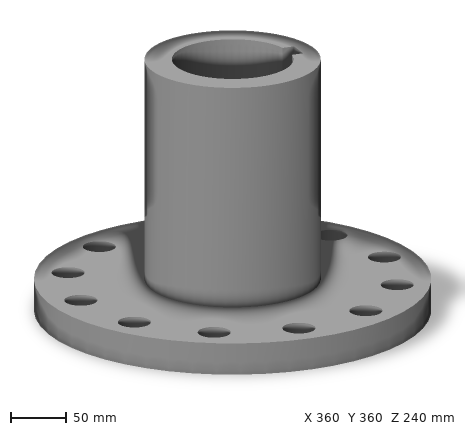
import cadquery as cq

flange_diameter = 360.0
flange_thickness = 30.0

hub_diameter = 160.0
total_height = 240.0
bore_diameter = 110.0

key_width = 21.0
key_top = 65.0

hole_count = 12
hole_diameter = 30.0
bolt_circle_diameter = 300.0


def make_body():
    """Round flange with a taller coaxial hub."""
    flange = cq.Workplane("XY").circle(flange_diameter / 2).extrude(flange_thickness)
    hub = cq.Workplane("XY").circle(hub_diameter / 2).extrude(total_height)
    return flange.union(hub)


def make_keyed_bore():
    """Through bore joined with a keyway running its full length."""
    bore = cq.Workplane("XY").circle(bore_diameter / 2).extrude(total_height)
    keyway = (
        cq.Workplane("XY")
        .center(0, key_top / 2)
        .rect(key_width, key_top)
        .extrude(total_height)
    )
    return bore.union(keyway)


def make_bolt_holes():
    """Ring of through holes, one of them on the +X axis."""
    return (
        cq.Workplane("XY")
        .polarArray(bolt_circle_diameter / 2, 0, 360, hole_count)
        .circle(hole_diameter / 2)
        .extrude(flange_thickness)
    )


result = make_body().cut(make_keyed_bore()).cut(make_bolt_holes())